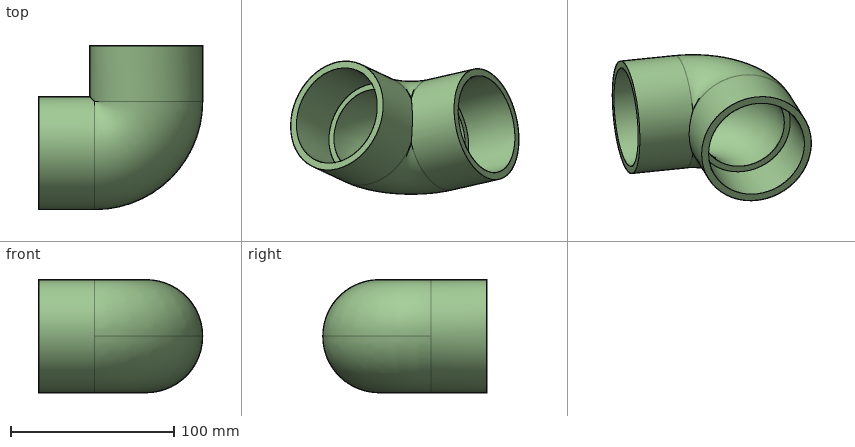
import cadquery as cq
import math

overall = 100.5
outer_diameter = 69.4
leg_length = 34.3
mouth_diameter = 60.5
socket_root_diameter = 59.9
bore_diameter = 52.5

outer_radius = outer_diameter / 2
mouth_radius = mouth_diameter / 2
socket_root_radius = socket_root_diameter / 2
bore_radius = bore_diameter / 2
half_overall = overall / 2
leg_axis = half_overall - outer_radius
bend_radius = overall - leg_length - outer_radius
bend_center = (leg_length - half_overall, half_overall - leg_length)

mouth_planes = (
    cq.Plane(origin=(-half_overall, -leg_axis, 0), xDir=(0, 1, 0), normal=(1, 0, 0)),
    cq.Plane(origin=(leg_axis, half_overall, 0), xDir=(1, 0, 0), normal=(0, -1, 0)),
)


bend_plane = cq.Plane(origin=(*bend_center, 0), xDir=(1, 0, 0), normal=(0, -1, 0))


def outer_half_bend(side):
    """Half (side +1 or -1) of the quarter turn; its round section overlaps the axis and stops there."""
    half_chord = math.sqrt(outer_radius**2 - bend_radius**2)
    return (
        cq.Workplane(bend_plane)
        .lineTo(0, side * half_chord)
        .threePointArc((bend_radius, side * outer_radius), (bend_radius + outer_radius, 0))
        .close()
        .revolve(90, (0, 0), (0, -1))
    )


def bore_bend():
    """Quarter turn of the round bore between the two sockets."""
    return (
        cq.Workplane(bend_plane)
        .center(bend_radius, 0)
        .circle(bore_radius)
        .revolve(90, (-bend_radius, 0), (-bend_radius, -1))
    )


def leg(plane):
    """Straight pipe leg, solid until its socket is cut."""
    return cq.Workplane(plane).circle(outer_radius).extrude(leg_length)


def socket(plane):
    """Tapered pipe socket that narrows from the mouth to the stop shoulder at the bend."""
    return (
        cq.Workplane(plane)
        .circle(mouth_radius)
        .workplane(offset=leg_length)
        .circle(socket_root_radius)
        .loft(ruled=True)
    )


body = outer_half_bend(1).union(outer_half_bend(-1))
for mouth_plane in mouth_planes:
    body = body.union(leg(mouth_plane))

body = body.cut(bore_bend())
for mouth_plane in mouth_planes:
    body = body.cut(socket(mouth_plane))

result = body